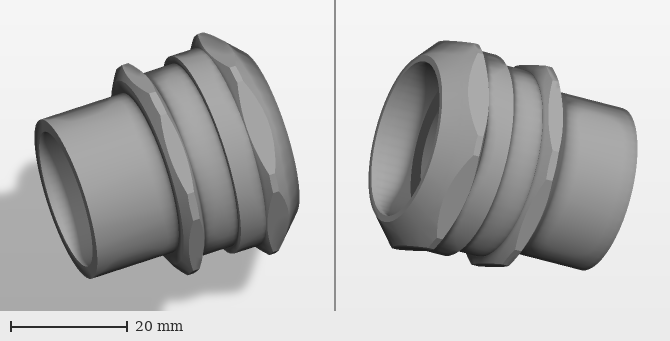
import cadquery as cq
import math

TUBE_END = 15.05
FRONT_NUT_END = 18.95
BODY_END = 25.1
COLLAR_END = 29.7
TOTAL_LENGTH = 37.15

TUBE_DIA = 28.6
TUBE_BORE_DIA = 24.2
THROUGH_DIA = 19.1
FRONT_NUT_FACE_DIA = 33.0
BODY_DIA = 32.85
COLLAR_DIA = 35.5
REAR_FACE_DIA = 29.4
REAR_BORE_DIA = 27.2

FRONT_NUT_FLATS = 34.9
FRONT_NUT_CORNERS = 37.35
REAR_NUT_FLATS = 36.0
REAR_NUT_CORNERS = 39.57

TUBE_BORE_DEPTH = TUBE_END
REAR_BORE_START = COLLAR_END
NUT_BEVEL = math.tan(math.radians(30))
REAR_CONE_SLOPE = 1.0


def cylinder(diameter, start, end):
    """Solid cylinder along +Y between two stations."""
    return (
        cq.Workplane("XZ", origin=(0, start, 0))
        .circle(diameter / 2)
        .extrude(start - end)
    )


def hexagon(across_flats, start, end, turn):
    """Hexagonal prism along +Y, turned about the Y axis by an angle in degrees."""
    corner_dia = across_flats / math.cos(math.pi / 6)
    return (
        cq.Workplane("XZ", origin=(0, start, 0))
        .polygon(6, corner_dia)
        .extrude(start - end)
        .rotate((0, 0, 0), (0, 1, 0), turn)
    )


def bevelled_nut(flats, corners, start, end, front_dia, rear_dia, rear_slope):
    """Hexagon with flattened corners, bevelled by a cone at each end."""
    prism = hexagon(flats, start, end, 30).intersect(hexagon(corners, start, end, 0))
    limit_radius = flats / math.sqrt(3)
    front_rise = (limit_radius - front_dia / 2) * NUT_BEVEL
    rear_rise = (limit_radius - rear_dia / 2) * rear_slope
    cones = (
        cq.Workplane("XY")
        .moveTo(0, start)
        .lineTo(front_dia / 2, start)
        .lineTo(limit_radius, start + front_rise)
        .lineTo(limit_radius, end - rear_rise)
        .lineTo(rear_dia / 2, end)
        .lineTo(0, end)
        .close()
        .revolve(360, (0, 0, 0), (0, 1, 0))
    )
    return prism.intersect(cones)


tube = cylinder(TUBE_DIA, 0, TUBE_END)
front_nut = bevelled_nut(
    FRONT_NUT_FLATS, FRONT_NUT_CORNERS, TUBE_END, FRONT_NUT_END,
    FRONT_NUT_FACE_DIA, FRONT_NUT_FACE_DIA, NUT_BEVEL,
)
body = cylinder(BODY_DIA, FRONT_NUT_END, BODY_END)
collar = cylinder(COLLAR_DIA, BODY_END, COLLAR_END)
rear_nut = bevelled_nut(
    REAR_NUT_FLATS, REAR_NUT_CORNERS, COLLAR_END, TOTAL_LENGTH,
    COLLAR_DIA, REAR_FACE_DIA, REAR_CONE_SLOPE,
)
outer = tube.union(front_nut).union(body).union(collar).union(rear_nut)

tube_bore = cylinder(TUBE_BORE_DIA, 0, TUBE_BORE_DEPTH)
rear_bore = cylinder(REAR_BORE_DIA, REAR_BORE_START, TOTAL_LENGTH)
through_hole = cylinder(THROUGH_DIA, 0, TOTAL_LENGTH)
result = outer.cut(tube_bore).cut(rear_bore).cut(through_hole)